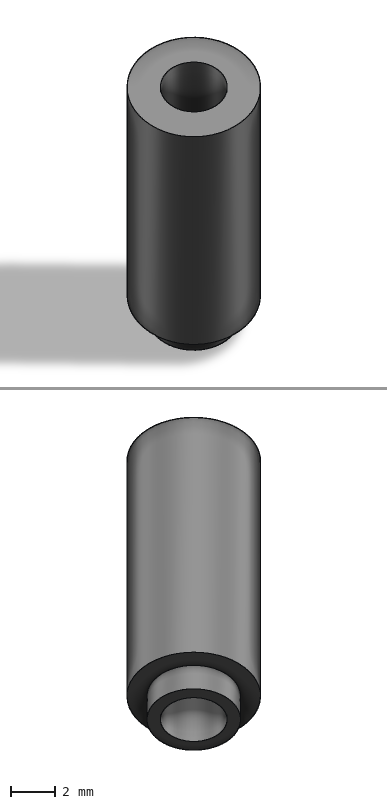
import cadquery as cq

total_height = 15.4
body_diameter = 6.0
bore_diameter = body_diameter / 2

spigot_diameter = 4.2
spigot_height = 1.4
body_height = total_height - spigot_height

spigot = cq.Workplane("XY").circle(spigot_diameter / 2).extrude(spigot_height)
stepped_post = spigot.faces(">Z").workplane().circle(body_diameter / 2).extrude(body_height)

result = stepped_post.faces(">Z").workplane().hole(bore_diameter)